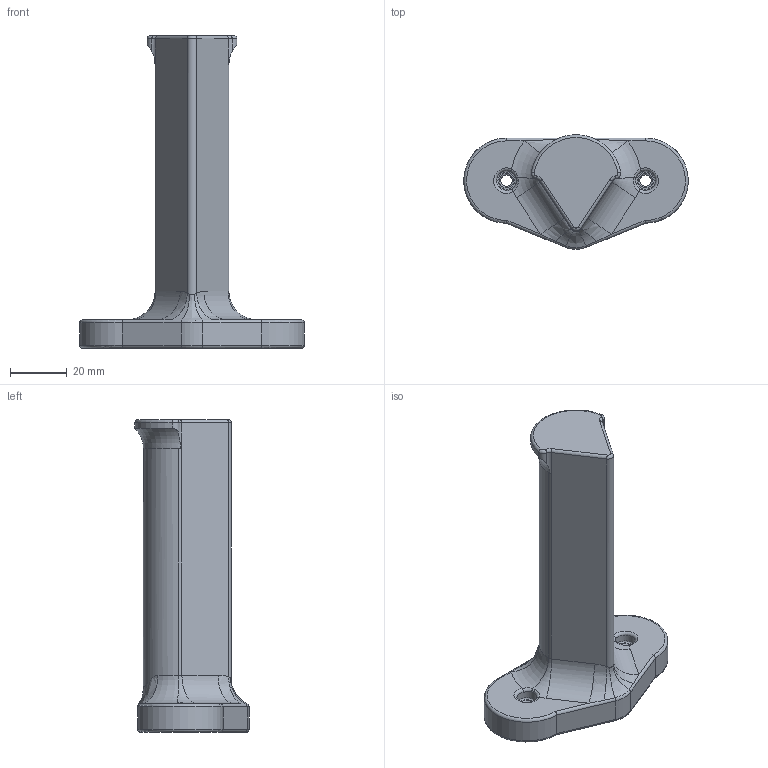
import cadquery as cq
import math

total_height = 110.0
edge_round = 1.0
pick_margin = 0.5

plate_thickness = 10.0
hole_offset = 24.5
ear_radius = 15.0
nose_apex_y = -25.0
nose_radius = 10.0

hole_diameter = 4.0
counterbore_diameter = 7.0
counterbore_depth = 4.0
seat_round = 0.5

post_radius = 13.0
wedge_apex_y = -19.5
post_corner_radius = 2.0
post_foot_radius = 10.0

head_radius = 16.0
lip_height = 3.0
flare_radius = 10.0
lip_end_angle = 10.2
lip_end_radius = 2.0


def make_plate():
    """Plate with a round ear at each hole and a blunt nose at the front, rounded all over."""
    slope = math.atan2(-ear_radius - nose_apex_y, hole_offset)
    nose_tip_y = nose_apex_y + nose_radius * (1 / math.cos(slope) - 1)
    nose_x = nose_radius * math.sin(slope)
    nose_y = nose_apex_y + nose_x * math.tan(slope)
    ear_end_x = hole_offset + ear_radius
    outline = (
        cq.Workplane("XY")
        .moveTo(-hole_offset, ear_radius)
        .lineTo(hole_offset, ear_radius)
        .threePointArc((ear_end_x, 0), (hole_offset, -ear_radius))
        .lineTo(nose_x, nose_y)
        .threePointArc((0, nose_tip_y), (-nose_x, nose_y))
        .lineTo(-hole_offset, -ear_radius)
        .threePointArc((-ear_end_x, 0), (-hole_offset, ear_radius))
        .close()
    )
    return outline.extrude(plate_thickness).faces("|Z").edges().fillet(edge_round)


def make_post():
    """Full-height post with its wedge and side corners rounded."""
    return (
        cq.Workplane("XY")
        .moveTo(post_radius, 0)
        .threePointArc((0, post_radius), (-post_radius, 0))
        .lineTo(0, wedge_apex_y)
        .close()
        .extrude(total_height)
        .edges("|Z")
        .fillet(post_corner_radius)
    )


def head_outline():
    """Rim arc joined to the wedge flats by an S-curve at each end."""
    end_angle = math.radians(lip_end_angle)
    end_direction = cq.Vector(math.cos(end_angle), math.sin(end_angle))
    flat_length = math.hypot(post_radius, wedge_apex_y)
    flat_direction = cq.Vector(post_radius, -wedge_apex_y) / flat_length
    flat_normal = cq.Vector(flat_direction.y, -flat_direction.x)
    flat_start = cq.Vector(0, wedge_apex_y)

    outer_center = end_direction * (head_radius - lip_end_radius)
    from_flat = outer_center - flat_start
    across = lip_end_radius - from_flat.dot(flat_normal)
    along = math.sqrt((2 * lip_end_radius) ** 2 - across**2)
    inner_center = outer_center + flat_normal * across - flat_direction * along
    flat_end = inner_center - flat_normal * lip_end_radius
    inflection = (outer_center + inner_center) * 0.5

    def arc_mid(center, start, end):
        bisector = (start - center) + (end - center)
        return center + bisector.normalized() * lip_end_radius

    rim_end = end_direction * head_radius
    outer_mid = arc_mid(outer_center, rim_end, inflection)
    inner_mid = arc_mid(inner_center, inflection, flat_end)

    def right(point):
        return (point.x, point.y)

    def left(point):
        return (-point.x, point.y)

    return (
        cq.Workplane("XY")
        .moveTo(*right(flat_start))
        .lineTo(*right(flat_end))
        .threePointArc(right(inner_mid), right(inflection))
        .threePointArc(right(outer_mid), right(rim_end))
        .threePointArc((0, head_radius), left(rim_end))
        .threePointArc(left(outer_mid), left(inflection))
        .threePointArc(left(inner_mid), left(flat_end))
        .close()
    )


def make_head():
    """Flared lip: a solid of revolution trimmed to the head outline."""
    overhang = head_radius - post_radius
    flare_height = math.sqrt(flare_radius**2 - (flare_radius - overhang) ** 2)
    rim_bottom = total_height - lip_height
    flare_bottom = rim_bottom - flare_height
    flare_center_x = post_radius + flare_radius
    mid_angle = math.asin(flare_height / flare_radius) / 2
    flare_mid = (
        flare_center_x - flare_radius * math.cos(mid_angle),
        flare_bottom + flare_radius * math.sin(mid_angle),
    )
    flare = (
        cq.Workplane("XZ")
        .moveTo(0, flare_bottom)
        .lineTo(post_radius, flare_bottom)
        .threePointArc(flare_mid, (head_radius, rim_bottom))
        .lineTo(head_radius, total_height)
        .lineTo(0, total_height)
        .close()
        .revolve(360, (0, 0, 0), (0, 1, 0))
    )
    return flare.intersect(head_outline().extrude(total_height))


def blend_foot(body):
    """Concave blend where the post meets the top of the plate."""
    foot = cq.selectors.BoxSelector(
        (-post_radius - pick_margin, wedge_apex_y, plate_thickness - pick_margin),
        (post_radius + pick_margin, post_radius + pick_margin, plate_thickness + pick_margin),
    )
    return body.edges(foot).fillet(post_foot_radius)


def screw_hole_cutter():
    """Stepped plugs whose floor step carries the rounding of the seat floor and the hole mouth."""
    hole_radius = hole_diameter / 2
    seat_radius = counterbore_diameter / 2
    plug_top = plate_thickness + post_foot_radius
    floor_z = plate_thickness - counterbore_depth
    profile = (
        cq.Workplane("XZ")
        .lineTo(hole_radius, 0)
        .lineTo(hole_radius, floor_z - seat_round)
        .radiusArc((hole_radius + seat_round, floor_z), seat_round)
        .lineTo(seat_radius - seat_round, floor_z)
        .radiusArc((seat_radius, floor_z + seat_round), -seat_round)
        .lineTo(seat_radius, plug_top)
        .lineTo(0, plug_top)
        .close()
    )
    plug = profile.revolve(360, (0, 0, 0), (0, 1, 0))
    return plug.translate((-hole_offset, 0, 0)).union(plug.translate((hole_offset, 0, 0)))


def cut_screw_holes(body):
    """Counterbored through holes whose rims are rounded where they break the plate and foot."""
    body = body.cut(screw_hole_cutter())
    reach = counterbore_diameter / 2 + pick_margin
    rim_edges = []
    for hole_x in (-hole_offset, hole_offset):
        around_rim = cq.selectors.BoxSelector(
            (hole_x - reach, -reach, plate_thickness - pick_margin),
            (hole_x + reach, reach, plate_thickness + edge_round),
            boundingbox=True,
        )
        rim_edges += body.edges(around_rim).vals()
    return body.newObject(rim_edges).fillet(edge_round)


body = make_plate().union(make_post())
body = blend_foot(body)
body = cut_screw_holes(body)
body = body.union(make_head())
result = body.faces(">Z").edges().fillet(edge_round)